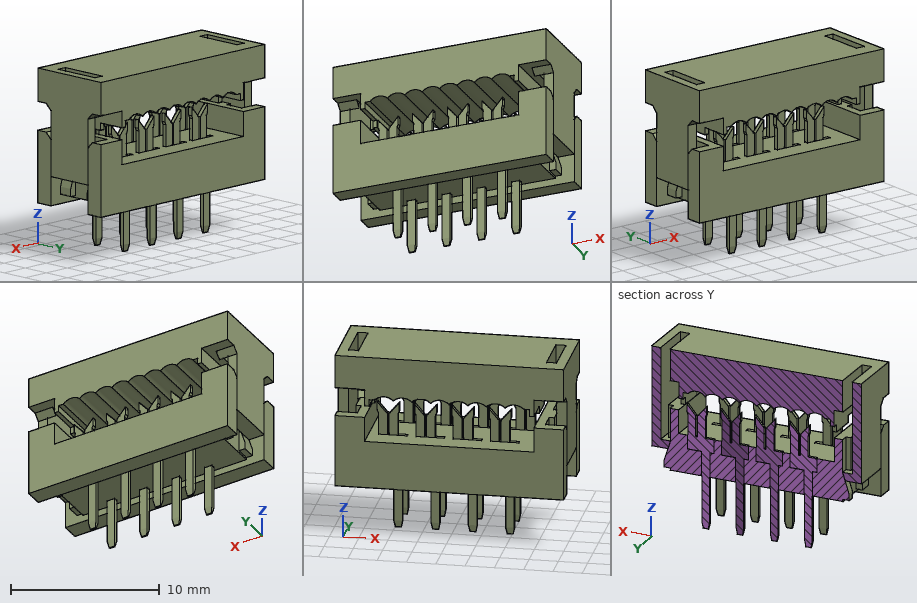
import cadquery as cq

LENGTH = 15.61
DEPTH = 6.0
HALF_LENGTH = LENGTH / 2
HALF_DEPTH = DEPTH / 2

CONTACTS_PER_ROW = 4
WIRE_COUNT = 2 * CONTACTS_PER_ROW
ROW_PITCH = 2.55
WIRE_PITCH = ROW_PITCH / 2
FIRST_WIRE_X = -(WIRE_COUNT - 1) / 2 * WIRE_PITCH

HOUSING_TOP = 5.03
UNDERSIDE = 0.5
CABLE_FLOOR = 3.31
CABLE_BAY_LENGTH = 11.55
CABLE_BAY_END = CABLE_BAY_LENGTH / 2

LEG_WIDTH = 3.5
HALF_LEG = LEG_WIDTH / 2
LEG_THICKNESS = 0.7
WELL_LENGTH = 1.39
WELL_BEVEL = 0.44
LEG_INNER_X = HALF_LENGTH - LEG_THICKNESS
WELL_INNER_X = HALF_LENGTH - WELL_LENGTH

CATCH_GAP = 1.56
CATCH_WIDTH = (LEG_WIDTH - CATCH_GAP) / 2
CATCH_FACE_X = HALF_LENGTH - 0.92
CATCH_BOTTOM = 0.65
RAMP_START = 1.17
RAMP_END = 2.65
STOP_REACH = 0.36

COVER_TOP = 9.32
COVER_UNDERSIDE = 7.01
COVER_SETBACK = 0.02
COVER_DEPTH = DEPTH - COVER_SETBACK
CLAMP_BOTTOM = 6.3
GROOVE_HEIGHT = 0.27
LEG_BOTTOM = 2.03
TAB_THICKNESS = 0.31
TAB_BOTTOM = 5.84
TONGUE_WIDTH = 1.87
TONGUE_BOTTOM = 5.32

CONTACT_THICKNESS = 0.3
FORK_WIDTH = 1.33
FORK_TOP_WIDTH = 1.5
FORK_SLOT = 0.12
FORK_TOP = 5.62
FORK_FLARE_BOTTOM = 5.03
FORK_MOUTH_BOTTOM = 4.82
SHOULDER_END = 1.28
SHOULDER_HEIGHT = 1.0
PIN_OFFSET = 0.67
PIN_WIDTH = 0.6
PIN_BOTTOM = -3.28
PIN_TIP_LENGTH = 0.48
PIN_TIP_WIDTH = 0.4
PIN_TIP_THICKNESS = 0.1


def block(x0, x1, y0, y1, z0, z1):
    return cq.Workplane("XY").box(x1 - x0, y1 - y0, z1 - z0, centered=False).translate((x0, y0, z0))


def bar_along_y(points, y0, y1):
    """Extrude an XZ outline from y0 to y1."""
    return cq.Workplane("XZ", origin=(0, y0, 0)).polyline(points).close().extrude(y0 - y1)


def bar_along_x(points, x0, x1):
    """Extrude a YZ outline from x0 to x1."""
    return cq.Workplane("YZ", origin=(x0, 0, 0)).polyline(points).close().extrude(x1 - x0)


def on_both_ends(shape):
    """The shape together with its mirror image at the opposite X end."""
    return shape.union(shape.mirror("YZ"))


def beveled_leg_outline(bottom, top):
    """YZ outline as wide as a leg, flaring at its top by the bevel."""
    return [
        (-HALF_LEG, bottom),
        (HALF_LEG, bottom),
        (HALF_LEG, top - WELL_BEVEL),
        (HALF_LEG + WELL_BEVEL, top),
        (-HALF_LEG - WELL_BEVEL, top),
        (-HALF_LEG, top - WELL_BEVEL),
    ]


def make_contact():
    """Forked contact with its fork centred on X = 0 and its sheet centred on Y = 0."""
    half_fork = FORK_WIDTH / 2
    half_top = FORK_TOP_WIDTH / 2
    half_slot = FORK_SLOT / 2
    half_sheet = CONTACT_THICKNESS / 2
    pin_left = PIN_OFFSET - PIN_WIDTH / 2
    pin_right = PIN_OFFSET + PIN_WIDTH / 2
    shoulder_bottom = CABLE_FLOOR - SHOULDER_HEIGHT
    tip_start = PIN_BOTTOM + PIN_TIP_LENGTH
    sheet = bar_along_y([
        (-half_slot, CABLE_FLOOR),
        (-half_slot, FORK_MOUTH_BOTTOM),
        (-half_top, FORK_TOP),
        (-half_top, FORK_FLARE_BOTTOM),
        (-half_fork, FORK_MOUTH_BOTTOM),
        (-half_fork, shoulder_bottom),
        (pin_left, shoulder_bottom),
        (pin_left, tip_start),
        (pin_right, tip_start),
        (pin_right, shoulder_bottom),
        (SHOULDER_END, shoulder_bottom),
        (SHOULDER_END, CABLE_FLOOR),
        (half_fork, CABLE_FLOOR),
        (half_fork, FORK_MOUTH_BOTTOM),
        (half_top, FORK_FLARE_BOTTOM),
        (half_top, FORK_TOP),
        (half_slot, FORK_MOUTH_BOTTOM),
        (half_slot, CABLE_FLOOR),
    ], -half_sheet, half_sheet)
    tip = (
        cq.Workplane("XY", origin=(PIN_OFFSET, 0, tip_start))
        .rect(PIN_WIDTH, CONTACT_THICKNESS)
        .workplane(offset=-PIN_TIP_LENGTH)
        .rect(PIN_TIP_WIDTH, PIN_TIP_THICKNESS)
        .loft(ruled=True)
    )
    return sheet.union(tip)


def make_contacts():
    """Front row, and the same row turned half a turn so that its forks fall between the front ones."""
    contacts = []
    for index in range(CONTACTS_PER_ROW):
        place = (FIRST_WIRE_X + index * ROW_PITCH, -ROW_PITCH / 2, 0)
        front = make_contact().translate(place)
        contacts.append(front)
        contacts.append(front.rotate((0, 0, 0), (0, 0, 1), 180))
    return contacts


def end_well():
    return bar_along_x(beveled_leg_outline(0, HOUSING_TOP), WELL_INNER_X, HALF_LENGTH)


def ramped_catches():
    """Two catches beside the middle of the well, ramped on top."""
    outline = [
        (WELL_INNER_X, CATCH_BOTTOM),
        (CATCH_FACE_X, CATCH_BOTTOM),
        (CATCH_FACE_X, RAMP_START),
        (WELL_INNER_X, RAMP_END),
    ]
    catch = bar_along_y(outline, CATCH_GAP / 2, CATCH_GAP / 2 + CATCH_WIDTH)
    return catch.union(catch.mirror("XZ"))


def stop_rib():
    """Rib in the middle of the well that keeps the leg hook from lifting out."""
    return block(WELL_INNER_X, WELL_INNER_X + STOP_REACH, -CATCH_GAP / 2, CATCH_GAP / 2, RAMP_END, HOUSING_TOP)


def make_housing(contacts):
    body = block(-HALF_LENGTH, HALF_LENGTH, -HALF_DEPTH, HALF_DEPTH, 0, HOUSING_TOP)
    bottom_channel = block(-HALF_LENGTH, HALF_LENGTH, -HALF_LEG, HALF_LEG, 0, UNDERSIDE)
    cable_bay = block(-CABLE_BAY_END, CABLE_BAY_END, -HALF_DEPTH, HALF_DEPTH, CABLE_FLOOR, HOUSING_TOP)
    body = body.cut(bottom_channel).cut(cable_bay).cut(on_both_ends(end_well()))
    body = body.union(on_both_ends(ramped_catches())).union(on_both_ends(stop_rib()))
    for contact in contacts:
        body = body.cut(contact)
    return body


def hooked_leg():
    """Leg with an inward hook whose underside follows the catch ramps."""
    flare = bar_along_x(beveled_leg_outline(LEG_BOTTOM, COVER_UNDERSIDE), WELL_INNER_X, HALF_LENGTH)
    gap_behind_leg = block(WELL_INNER_X, LEG_INNER_X, -HALF_LEG, HALF_LEG, LEG_BOTTOM, COVER_UNDERSIDE)
    ramp_slope = (CATCH_FACE_X - WELL_INNER_X) / (RAMP_END - RAMP_START)
    hook_bottom_x = WELL_INNER_X + ramp_slope * (RAMP_END - LEG_BOTTOM)
    hook = bar_along_y([
        (LEG_INNER_X, LEG_BOTTOM),
        (hook_bottom_x, LEG_BOTTOM),
        (WELL_INNER_X, RAMP_END),
        (LEG_INNER_X, RAMP_END),
    ], -HALF_LEG, HALF_LEG)
    return flare.cut(gap_behind_leg).union(hook)


def end_tab(cover_front):
    """Tab closing the end of the clamp, with a deeper tongue between the legs."""
    inner_x = CABLE_BAY_END - TAB_THICKNESS
    tab = block(inner_x, CABLE_BAY_END, cover_front, HALF_DEPTH, TAB_BOTTOM, COVER_UNDERSIDE)
    tongue = block(inner_x, CABLE_BAY_END, -TONGUE_WIDTH / 2, TONGUE_WIDTH / 2, TONGUE_BOTTOM, COVER_UNDERSIDE)
    return tab.union(tongue)


def wire_groove(centre_x, cover_front):
    """Shallow arc over one wire, running front to back."""
    start = (centre_x - WIRE_PITCH / 2, CLAMP_BOTTOM)
    crown = (centre_x, CLAMP_BOTTOM + GROOVE_HEIGHT)
    end = (centre_x + WIRE_PITCH / 2, CLAMP_BOTTOM)
    outline = cq.Workplane("XZ", origin=(0, cover_front, 0)).moveTo(*start).threePointArc(crown, end).close()
    return outline.extrude(-COVER_DEPTH)


def make_cover():
    cover_front = COVER_SETBACK - HALF_DEPTH
    plate = block(-HALF_LENGTH, HALF_LENGTH, cover_front, HALF_DEPTH, COVER_UNDERSIDE, COVER_TOP)
    clamp = block(-CABLE_BAY_END, CABLE_BAY_END, cover_front, HALF_DEPTH, CLAMP_BOTTOM, COVER_UNDERSIDE)
    hook_window = block(WELL_INNER_X, LEG_INNER_X, -HALF_LEG, HALF_LEG, COVER_UNDERSIDE, COVER_TOP)
    for index in range(WIRE_COUNT):
        clamp = clamp.cut(wire_groove(FIRST_WIRE_X + index * WIRE_PITCH, cover_front))
    cover = plate.union(clamp).cut(on_both_ends(hook_window))
    return cover.union(on_both_ends(hooked_leg())).union(on_both_ends(end_tab(cover_front)))


contacts = make_contacts()
housing = make_housing(contacts)
cover = make_cover()

result = cq.Compound.makeCompound([housing.val(), cover.val(), *[contact.val() for contact in contacts]])